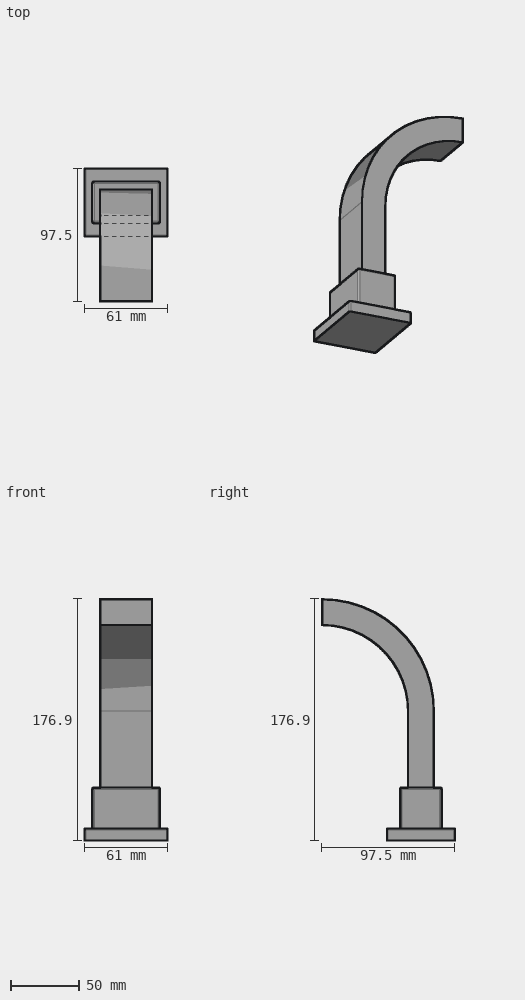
import cadquery as cq
import math

plate_width = 60.96
plate_depth = 50.0
plate_height = 8.89
plate_round = 1.02

spout_width = 38.1
spout_thickness = 19.05
overall_height = 176.86
overall_depth = 97.45
spout_back = spout_thickness / 2
spout_front = -spout_thickness / 2
spout_tip = plate_depth / 2 - overall_depth
bend_outer_radius = spout_back - spout_tip
bend_inner_radius = bend_outer_radius - spout_thickness
bend_start = overall_height - bend_outer_radius

collar_ledge = 5.75
collar_width = spout_width + 2 * collar_ledge
collar_depth = spout_thickness + 2 * collar_ledge
collar_top = 38.86
collar_round = 1.52


def rounded_block(width, depth, bottom, top, radius):
    """Upright block with rounded vertical edges and a rounded top rim."""
    block = cq.Workplane("XY").workplane(offset=bottom).rect(width, depth).extrude(top - bottom)
    return block.edges("|Z or >Z").fillet(radius)


def bend_midpoint(radius):
    """Point (Y, Z) halfway round the quarter-turn bend at the given radius."""
    reach = radius * math.sqrt(0.5)
    return (spout_tip + reach, bend_start + reach)


def curved_spout():
    """Bar profile in the YZ plane, extruded symmetrically across X."""
    outer_mid = bend_midpoint(bend_outer_radius)
    inner_mid = bend_midpoint(bend_inner_radius)
    return (
        cq.Workplane("YZ")
        .moveTo(spout_front, plate_height)
        .lineTo(spout_back, plate_height)
        .lineTo(spout_back, bend_start)
        .threePointArc(outer_mid, (spout_tip, overall_height))
        .lineTo(spout_tip, overall_height - spout_thickness)
        .threePointArc(inner_mid, (spout_front, bend_start))
        .close()
        .extrude(spout_width / 2, both=True)
    )


plate = rounded_block(plate_width, plate_depth, 0, plate_height, plate_round)
collar = rounded_block(collar_width, collar_depth, plate_height, collar_top, collar_round)
result = plate.union(collar).union(curved_spout())